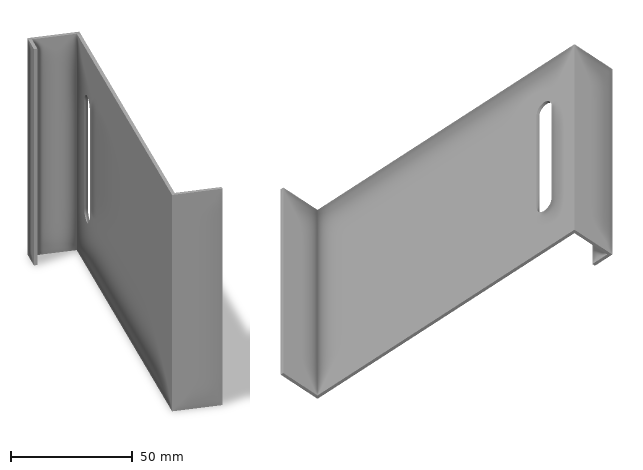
import cadquery as cq

length = 150.0
depth = 42.0
height = 100.0
thickness = 1.5

front_depth = 22.0
lip_length = 10.0

slot_length = 58.5
slot_width = 8.5
slot_center_x = 17.5

plate_front = front_depth - thickness


def bent_sheet():
    """Plate with a lipped flange at the front left and a plain flange at the back right."""
    profile = [
        (0, 0),
        (lip_length, 0),
        (lip_length, thickness),
        (thickness, thickness),
        (thickness, plate_front),
        (length, plate_front),
        (length, depth),
        (length - thickness, depth),
        (length - thickness, front_depth),
        (0, front_depth),
    ]
    return cq.Workplane("XY").polyline(profile).close().extrude(height)


def grip_slot():
    """Upright round-ended cutter through the plate, at mid height."""
    return (
        cq.Workplane("XZ", origin=(slot_center_x, front_depth, height / 2))
        .slot2D(slot_length, slot_width, angle=90)
        .extrude(thickness)
    )


result = bent_sheet().cut(grip_slot())